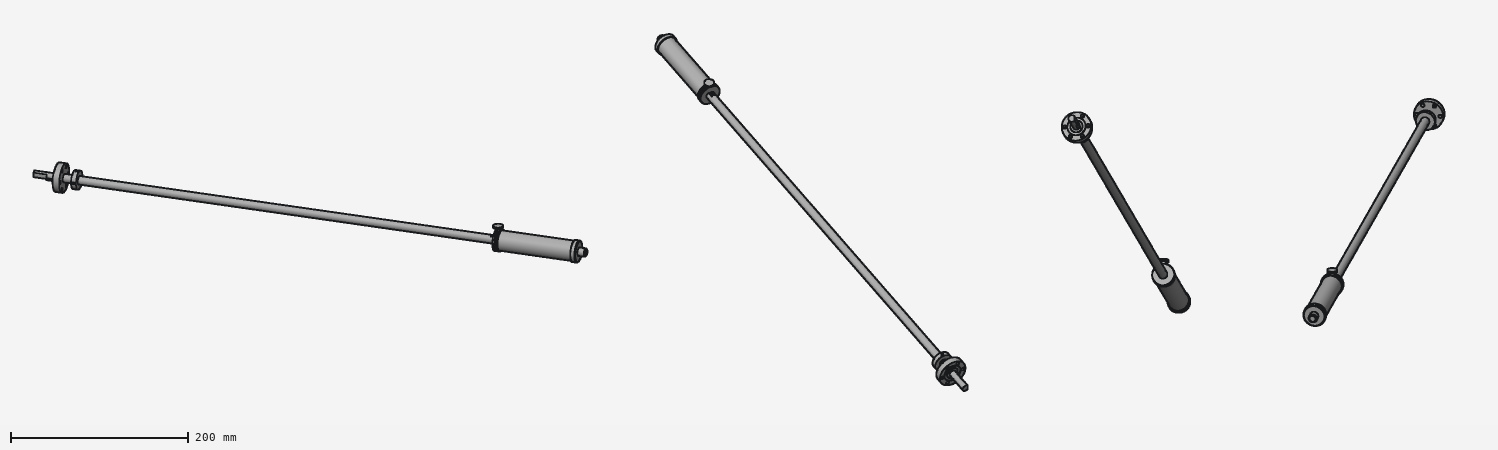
import cadquery as cq

OVERALL_LENGTH = 663.6
ROD_DIAMETER = 10.0
ROD_END_CHAMFER = 1.5

SHANK_DIAMETER = 8.0
SHANK_FLAT_LENGTH = 16.0
SHANK_FLAT_Y = -3.0

PAD_LENGTH = 9.0
PAD_REACH = 5.0
PAD_TOP_Z = -1.5
PAD_BOTTOM_Z = -3.5

DISC_DIAMETER = 34.0
DISC_START_X = 28.0
DISC_WIDTH = 8.0
DISC_HOLE_COUNT = 6
DISC_HOLE_DIAMETER = 4.0
DISC_HOLE_CIRCLE_DIAMETER = 27.0
DISC_RECESS_OUTER_DIAMETER = 21.0
DISC_RECESS_INNER_DIAMETER = 14.0
DISC_RECESS_DEPTH = 1.0

COLLAR_DIAMETER = 22.0
COLLAR_START_X = 48.0
COLLAR_WIDTH = 6.0
SET_SCREW_DIAMETER = 2.5

BARREL_DIAMETER = 23.5
FLANGE_DIAMETER = 25.6
FLANGE_GROOVE_DIAMETER = 24.0
FLANGE_GROOVE_WIDTH = 1.5
FLANGE_WIDTH = 6.0
REAR_FLANGE_CHAMFER = 1.0
BARREL_START_X = 555.0
BARREL_END_X = 654.5

BUTTON_DIAMETER = 11.5
BUTTON_HEAD_OFFSET = 0.7
BUTTON_TOP_Z = 17.75
BUTTON_THICKNESS = 2.0
BUTTON_STEM_DIAMETER = 6.0

ROD_SLOT_LENGTH = 6.0
ROD_SLOT_WIDTH = 3.0
ROD_SLOT_DEPTH = 1.5


def cylinder_along_x(diameter, start_x, length):
    """Solid cylinder on the part's axis."""
    return cq.Workplane("YZ").workplane(offset=start_x).circle(diameter / 2).extrude(length)


def ring_along_x(outer_diameter, inner_diameter, start_x, length):
    """Annular solid on the part's axis."""
    profile = cq.Workplane("YZ").workplane(offset=start_x).circle(outer_diameter / 2)
    return profile.circle(inner_diameter / 2).extrude(length)


def box_between(x_range, y_range, z_range):
    """Box spanning the given (low, high) pairs."""
    corners = (x_range, y_range, z_range)
    size = [high - low for low, high in corners]
    lowest = tuple(low for low, _ in corners)
    return cq.Workplane("XY").box(*size, centered=False).translate(lowest)


def make_rod():
    rod = cylinder_along_x(ROD_DIAMETER, DISC_START_X, OVERALL_LENGTH - DISC_START_X)
    rod = rod.faces(">X").chamfer(ROD_END_CHAMFER)
    radius = ROD_DIAMETER / 2
    slot = box_between(
        (BARREL_START_X - ROD_SLOT_LENGTH, BARREL_START_X),
        (-ROD_SLOT_WIDTH / 2, ROD_SLOT_WIDTH / 2),
        (radius - ROD_SLOT_DEPTH, radius),
    )
    return rod.cut(slot)


def make_shank():
    radius = SHANK_DIAMETER / 2
    shank = cylinder_along_x(SHANK_DIAMETER, 0, DISC_START_X)
    beyond_flat = box_between((0, SHANK_FLAT_LENGTH), (-radius, SHANK_FLAT_Y), (-radius, radius))
    pad = box_between(
        (SHANK_FLAT_LENGTH, SHANK_FLAT_LENGTH + PAD_LENGTH),
        (-PAD_REACH, 0),
        (PAD_BOTTOM_Z, PAD_TOP_Z),
    )
    return shank.cut(beyond_flat).union(pad)


def make_disc():
    disc = cylinder_along_x(DISC_DIAMETER, DISC_START_X, DISC_WIDTH)
    holes = (
        cq.Workplane("YZ")
        .workplane(offset=DISC_START_X)
        .polarArray(DISC_HOLE_CIRCLE_DIAMETER / 2, 0, 360, DISC_HOLE_COUNT)
        .circle(DISC_HOLE_DIAMETER / 2)
        .extrude(DISC_WIDTH)
    )
    recess = ring_along_x(
        DISC_RECESS_OUTER_DIAMETER, DISC_RECESS_INNER_DIAMETER, DISC_START_X, DISC_RECESS_DEPTH
    )
    return disc.cut(holes).cut(recess)


def make_collar():
    collar = cylinder_along_x(COLLAR_DIAMETER, COLLAR_START_X, COLLAR_WIDTH)
    middle_x = COLLAR_START_X + COLLAR_WIDTH / 2
    reach = COLLAR_DIAMETER / 2
    top_hole = cq.Workplane("XY").center(middle_x, 0).circle(SET_SCREW_DIAMETER / 2).extrude(reach)
    side_hole = cq.Workplane("XZ").center(middle_x, 0).circle(SET_SCREW_DIAMETER / 2).extrude(reach)
    return collar.cut(top_hole).cut(side_hole)


def make_front_flange():
    flange = cylinder_along_x(FLANGE_DIAMETER, BARREL_START_X, FLANGE_WIDTH)
    groove_x = BARREL_START_X + (FLANGE_WIDTH - FLANGE_GROOVE_WIDTH) / 2
    groove = ring_along_x(FLANGE_DIAMETER, FLANGE_GROOVE_DIAMETER, groove_x, FLANGE_GROOVE_WIDTH)
    return flange.cut(groove)


def make_rear_flange():
    flange = cylinder_along_x(FLANGE_DIAMETER, BARREL_END_X - FLANGE_WIDTH, FLANGE_WIDTH)
    return flange.faces(">X").chamfer(REAR_FLANGE_CHAMFER)


def make_barrel():
    length = BARREL_END_X - REAR_FLANGE_CHAMFER - BARREL_START_X
    barrel = cylinder_along_x(BARREL_DIAMETER, BARREL_START_X, length)
    return barrel.union(make_front_flange()).union(make_rear_flange())


def make_button():
    middle_x = BARREL_START_X + FLANGE_WIDTH / 2
    stem = cq.Workplane("XY").center(middle_x, 0).circle(BUTTON_STEM_DIAMETER / 2).extrude(BUTTON_TOP_Z)
    head = (
        cq.Workplane("XY")
        .workplane(offset=BUTTON_TOP_Z - BUTTON_THICKNESS)
        .center(middle_x - BUTTON_HEAD_OFFSET, 0)
        .circle(BUTTON_DIAMETER / 2)
        .extrude(BUTTON_THICKNESS)
    )
    return stem.union(head)


result = make_rod()
for body in (make_shank(), make_disc(), make_collar(), make_barrel(), make_button()):
    result = result.union(body)